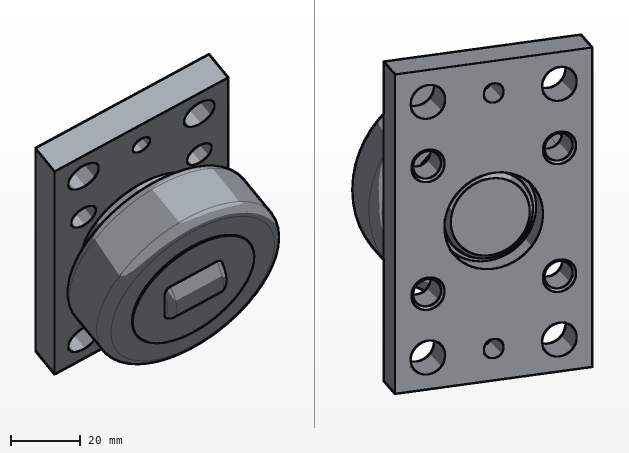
import cadquery as cq

plate_thickness = 10.0
plate_width = 60.0
plate_height = 100.0
hole_y = 20.0
outer_row_z = 40.0
inner_row_z = 20.0
clearance_diameter = 10.5
dowel_diameter = 6.0
tapped_diameter = 8.5
tapped_chamfer = 0.8

recess_diameter = 30.0
recess_depth = 6.0
pin_diameter = 27.0
pin_chamfer = 1.5
pin_setback = 3.0

hub_diameter = 42.0
hub_end = 37.0
roller_diameter = 62.5
roller_start = 16.5
roller_end = 36.6
roller_round = 3.0

side_roller_diameter = 20.0
side_roller_width = 20.0
side_roller_round = 2.0
side_roller_reach = 40.5


def x_cylinder(diameter, start, end):
    """Cylinder about the X axis between two X positions."""
    return cq.Workplane("YZ", origin=(start, 0, 0)).circle(diameter / 2).extrude(end - start)


def make_plate():
    plate = cq.Workplane("YZ").rect(plate_width, plate_height).extrude(plate_thickness)
    back = cq.Workplane("YZ")
    clearance = back.rect(2 * hole_y, 2 * outer_row_z, forConstruction=True).vertices()
    plate = plate.cut(clearance.circle(clearance_diameter / 2).extrude(plate_thickness))
    dowels = back.pushPoints([(0, -outer_row_z), (0, outer_row_z)])
    plate = plate.cut(dowels.circle(dowel_diameter / 2).extrude(plate_thickness))

    tapped_hole = x_cylinder(tapped_diameter, 0, plate_thickness)
    countersink = cq.Workplane("YZ").circle(tapped_diameter / 2 + tapped_chamfer)
    countersink = countersink.workplane(offset=tapped_chamfer).circle(tapped_diameter / 2).loft()
    tapped_hole = tapped_hole.union(countersink)
    for y in (-hole_y, hole_y):
        for z in (-inner_row_z, inner_row_z):
            plate = plate.cut(tapped_hole.translate((0, y, z)))
    return plate.cut(x_cylinder(recess_diameter, 0, recess_depth))


def make_pin():
    pin = x_cylinder(pin_diameter, pin_setback, plate_thickness)
    return pin.faces("<X").chamfer(pin_chamfer)


def make_roller():
    roller = x_cylinder(roller_diameter, roller_start, roller_end)
    return roller.edges().fillet(roller_round)


def make_side_roller():
    axis_x = side_roller_reach - side_roller_diameter / 2
    roller = cq.Workplane("XZ", origin=(axis_x, 0, 0)).circle(side_roller_diameter / 2)
    roller = roller.extrude(side_roller_width / 2, both=True)
    return roller.faces("<Y or >Y").edges().fillet(side_roller_round)


hub = x_cylinder(hub_diameter, plate_thickness, hub_end)
result = make_plate().union(make_pin()).union(hub).union(make_roller()).union(make_side_roller())